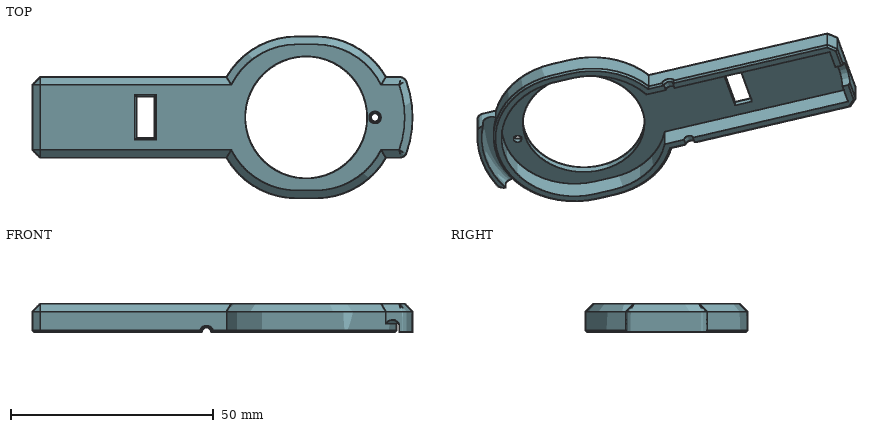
import cadquery as cq
import math

length = 93.9
width = 40.0
height = 7.0
wall = 2.0
top_chamfer = wall
bottom_chamfer = 0.5
ceiling = height - wall

head_x = 67.6
head_radius = width / 2
head_straight = 4.7
bore_radius = 15.0

handle_width = 20.0
end_radius = length - head_x

corner_y = handle_width / 2 - top_chamfer
corner_reach = end_radius - top_chamfer
corner_x = head_x + math.sqrt(corner_reach**2 - corner_y**2)
corner_angle = math.degrees(math.asin(corner_y / corner_reach))

groove_overlap = 0.1
groove_radius = 1.5

window_x = 28.0
window_length = 4.3
window_width = 10.1
pin_hole_x = 84.6
pin_hole_radius = 2.0 / 2
opening_chamfer = 0.5
end_notch_radius = 3.1
side_notch_x = 43.0
side_notch_radius = 1.1
side_notch_chamfer = 0.5


def head():
    """Ring body with a wide chamfer on top and a fine one below."""
    return (
        cq.Workplane("XY").center(head_x, 0)
        .slot2D(head_straight + 2 * head_radius, 2 * head_radius).extrude(height)
        .faces(">Z").edges().chamfer(top_chamfer)
        .faces("<Z").edges().chamfer(bottom_chamfer)
    )


def bar(start, end, bar_width, bar_height):
    """Plain bar along X, centred on Y and resting on Z = 0."""
    return (
        cq.Workplane("XY")
        .box(end - start, bar_width, bar_height, (False, True, False))
        .translate((start, 0, 0))
    )


def handle():
    """Straight handle whose two outer corners are chamfered in all three directions."""
    body = bar(0, head_x, handle_width, height)
    body = body.edges("<X and |Z").add(body.faces(">Z").edges("|X or <X")).chamfer(top_chamfer)
    return body.faces("<Z").edges("not >X").chamfer(bottom_chamfer)


def tip():
    """Short bar beyond the head, closed by a round end with rounded corners."""
    neck = bar(head_x, corner_x, handle_width, height)
    neck = neck.faces(">Z").edges("|X").chamfer(top_chamfer)
    round_end = (
        cq.Workplane("XZ")
        .polyline([(0, 0), (end_radius, 0), (end_radius, ceiling), (corner_reach, height), (0, height)])
        .close().revolve(2 * corner_angle, (0, 0), (0, 1))
        .rotate((0, 0, 0), (0, 0, 1), -corner_angle)
        .translate((head_x, 0, 0))
    )
    corner = (
        cq.Workplane("XZ")
        .polyline([(0, 0), (top_chamfer, 0), (top_chamfer, ceiling), (0, height)])
        .close().revolve(360, (0, 0), (0, 1))
    )
    body = neck.union(round_end)
    for side in (-1, 1):
        body = body.union(corner.translate((corner_x, side * corner_y, 0)))
    return body


def cavity():
    """Hollow open at the bottom that leaves an even wall and top plate."""
    in_head = (
        cq.Workplane("XY").center(head_x, 0)
        .slot2D(head_straight + 2 * (head_radius - wall), 2 * (head_radius - wall)).extrude(ceiling)
    )
    in_handle = bar(wall, head_x, handle_width - 2 * wall, ceiling)
    return in_head.union(in_handle)


def tip_groove():
    """Arched groove round the end of the head; the head itself later fills its inner edge."""
    foot_radius = head_radius - bottom_chamfer
    inner_radius = head_radius - groove_overlap
    middle_radius = inner_radius + groove_radius
    outer_radius = middle_radius + groove_radius
    return (
        cq.Workplane("XZ")
        .moveTo(foot_radius, 0)
        .lineTo(foot_radius, bottom_chamfer)
        .lineTo(inner_radius, bottom_chamfer)
        .lineTo(inner_radius, groove_radius)
        .threePointArc((middle_radius, 2 * groove_radius), (outer_radius, groove_radius))
        .lineTo(outer_radius, 0)
        .close().revolve(180, (0, 0), (0, 1))
        .rotate((0, 0, 0), (0, 0, 1), -90)
        .translate((head_x + head_straight / 2, 0, 0))
    )


def bore():
    """Large round opening through the head."""
    return cq.Workplane("XY").center(head_x, 0).circle(bore_radius).extrude(height)


def window():
    """Rectangular opening through the top plate, flared at the top."""
    opening = cq.Workplane("XY").center(window_x, 0).rect(window_length, window_width).extrude(height)
    flare = (
        cq.Workplane("XY", origin=(window_x, 0, height))
        .rect(window_length + 2 * opening_chamfer, window_width + 2 * opening_chamfer)
        .extrude(-opening_chamfer, taper=45)
    )
    return opening.union(flare)


def pin_hole():
    """Countersunk hole through the top plate."""
    hole = cq.Workplane("XY").center(pin_hole_x, 0).circle(pin_hole_radius).extrude(height)
    countersink = (
        cq.Workplane("XY", origin=(pin_hole_x, 0, height))
        .circle(pin_hole_radius + opening_chamfer)
        .extrude(-opening_chamfer, taper=45)
    )
    return hole.union(countersink)


def end_notch():
    """Half-round notch through the end wall of the handle."""
    return cq.Workplane("YZ").circle(end_notch_radius).extrude(wall)


def side_notches():
    """Half-round notches through both side walls, flared on the outside."""
    half_width = handle_width / 2
    flared_radius = side_notch_radius + side_notch_chamfer
    notch = (
        cq.Workplane("XY")
        .polyline([(0, 0), (side_notch_radius, 0), (side_notch_radius, half_width - side_notch_chamfer),
                   (flared_radius, half_width), (0, half_width)])
        .close().revolve(360, (0, 0), (0, 1))
    )
    return notch.union(notch.mirror("XZ")).translate((side_notch_x, 0, 0))


result = head().union(handle()).union(tip().cut(tip_groove()))
for opening in (cavity(), bore(), window(), pin_hole(), end_notch(), side_notches()):
    result = result.cut(opening)